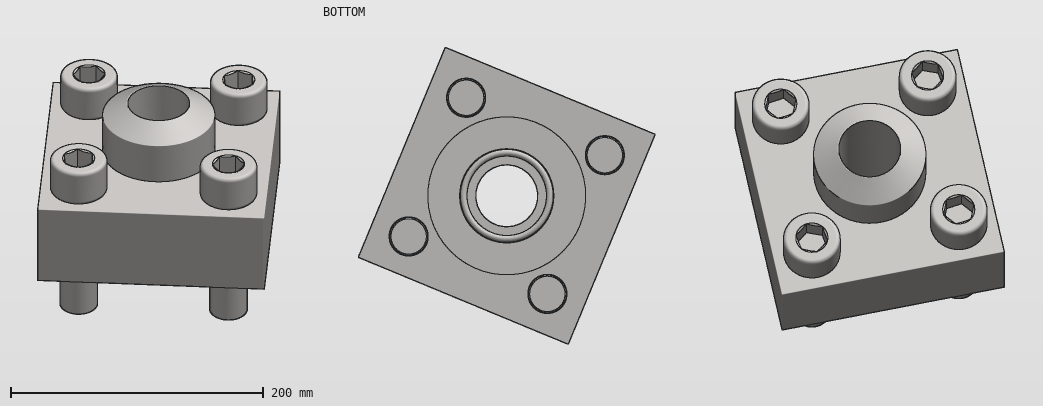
import cadquery as cq
import math

block_side = 180.0
block_height = 68.0
block_turn = 22.5
block_edge_radius = 0.5

bore_diameter = 49.0
pipe_bore_diameter = 48.9

neck_diameter = 88.9
neck_height = 45.0
pipe_bore_depth = neck_height / 2
neck_land_width = 0.8
neck_edge_radius = 0.5
bevel_angle = 30.0
neck_land_diameter = pipe_bore_diameter + 2 * neck_land_width
bevel_height = (neck_diameter - neck_land_diameter) / 2 * math.tan(math.radians(bevel_angle))

face_diameter = 125.0
face_height = 1.5

ring_inner_diameter = 62.87
ring_section = 5.33
ring_center_radius = (ring_inner_diameter + ring_section) / 2
groove_outer_diameter = 74.6
groove_depth = 3.8

screw_count = 4
screw_circle_radius = 84.0
screw_hole_diameter = 31.0
screw_seat_angle = 45.0
screw_first_angle = block_turn + screw_seat_angle
shank_diameter = 30.0
shank_length = 110.0
shank_chamfer = 1.0
head_diameter = 45.0
head_height = 30.0
head_edge_radius = 3.0
socket_width = 22.0
socket_depth = 17.0
socket_corner_diameter = socket_width / math.cos(math.radians(30.0))
socket_lead_in_angle = 30.0

block_top = block_height
neck_top = block_top + neck_height
face_bottom = -face_height
groove_top = face_bottom + groove_depth


def cylinder(diameter, bottom, top):
    return cq.Workplane("XY").workplane(offset=bottom).circle(diameter / 2).extrude(top - bottom)


def make_neck():
    bevel_start = neck_top - bevel_height
    profile = [
        (0, 0),
        (neck_diameter / 2, 0),
        (neck_diameter / 2, bevel_start),
        (neck_land_diameter / 2, neck_top),
        (0, neck_top),
    ]
    neck = cq.Workplane("XZ").polyline(profile).close().revolve(360, (0, 0), (0, 1))
    sharp_edges = cq.selectors.BoxSelector(
        (-neck_diameter, -neck_diameter, bevel_start - neck_edge_radius),
        (neck_diameter, neck_diameter, neck_top + neck_edge_radius),
    )
    return neck.edges("%CIRCLE").edges(sharp_edges).fillet(neck_edge_radius)


def make_bore():
    pipe_bore_bottom = neck_top - pipe_bore_depth
    profile = [
        (0, face_bottom),
        (bore_diameter / 2, face_bottom),
        (pipe_bore_diameter / 2, pipe_bore_bottom),
        (pipe_bore_diameter / 2, neck_top),
        (0, neck_top),
    ]
    return cq.Workplane("XZ").polyline(profile).close().revolve(360, (0, 0), (0, 1))


def make_flange():
    block = cq.Workplane("XY").box(block_side, block_side, block_height, centered=(True, True, False))
    block = block.edges().fillet(block_edge_radius)

    body = block.union(make_neck()).union(cylinder(face_diameter, face_bottom, block_top))

    body = body.cut(make_bore())

    groove = cylinder(groove_outer_diameter, face_bottom, groove_top)
    groove = groove.cut(cylinder(ring_inner_diameter, face_bottom, groove_top))
    body = body.cut(groove)

    screw_holes = (
        cq.Workplane("XY")
        .polarArray(screw_circle_radius, screw_seat_angle, 360, screw_count)
        .circle(screw_hole_diameter / 2)
        .extrude(block_height)
    )
    return body.cut(screw_holes).rotate((0, 0, 0), (0, 0, 1), block_turn)


def make_o_ring():
    center_height = groove_top - ring_section / 2
    return (
        cq.Workplane("XZ")
        .center(ring_center_radius, center_height)
        .circle(ring_section / 2)
        .revolve(360, (-ring_center_radius, 0), (-ring_center_radius, 1))
    )


def make_screw():
    """A screw on the Z axis, with the seat of its head at the origin."""
    head_radius = head_diameter / 2
    shank_radius = shank_diameter / 2
    edge_inset = head_edge_radius * (1 - math.sqrt(0.5))
    screw = (
        cq.Workplane("XZ")
        .moveTo(0, -shank_length)
        .lineTo(shank_radius - shank_chamfer, -shank_length)
        .lineTo(shank_radius, -shank_length + shank_chamfer)
        .lineTo(shank_radius, 0)
        .lineTo(head_radius - head_edge_radius, 0)
        .threePointArc((head_radius - edge_inset, edge_inset), (head_radius, head_edge_radius))
        .lineTo(head_radius, head_height - head_edge_radius)
        .threePointArc(
            (head_radius - edge_inset, head_height - edge_inset),
            (head_radius - head_edge_radius, head_height),
        )
        .lineTo(0, head_height)
        .close()
        .revolve(360, (0, 0), (0, 1))
    )

    socket = (
        cq.Workplane("XY")
        .workplane(offset=head_height - socket_depth)
        .polygon(6, socket_corner_diameter)
        .extrude(socket_depth)
    )
    lead_in_radius = socket_corner_diameter / 2
    lead_in_depth = lead_in_radius * math.tan(math.radians(socket_lead_in_angle))
    lead_in = (
        cq.Workplane("XZ")
        .polyline([(0, head_height), (lead_in_radius, head_height), (0, head_height - lead_in_depth)])
        .close()
        .revolve(360, (0, 0), (0, 1))
    )
    return screw.cut(socket).cut(lead_in)


def make_screws():
    """Screws seated on the block, each turned with its place on the circle."""
    first_screw = make_screw().rotate((0, 0, 0), (0, 0, 1), -screw_first_angle)
    first_screw = first_screw.translate((screw_circle_radius, 0, block_top))
    screws = []
    for index in range(screw_count):
        angle = screw_first_angle + index * 360 / screw_count
        screws.append(first_screw.rotate((0, 0, 0), (0, 0, 1), angle).val())
    return screws


flange = make_flange()
o_ring = make_o_ring()
screws = make_screws()

result = cq.Compound.makeCompound([flange.val(), o_ring.val(), *screws])